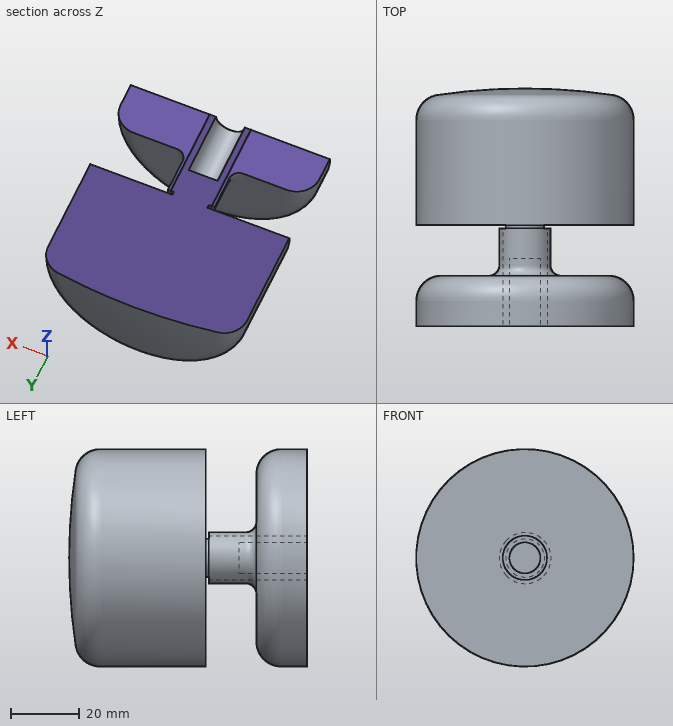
import cadquery as cq
import math

outer_diameter = 63.92
outer_radius = outer_diameter / 2
overall_length = 69.87
rim_radius = 7.4

rose_thickness = 14.9
stem_radius = 15.1 / 2
stem_end = 28.8
flare_radius = 3.0
shaft_radius = 13.0 / 2

knob_start = 29.7
neck_radius = 11.3 / 2
dome_edge_angle = 8.5
screw_hole_radius = 9.1 / 2
screw_hole_depth = 20.0


def turn(profile):
    """Revolve a profile, drawn as (radius, Y), about the Y axis."""
    return profile.close().revolve(360, (0, 0, 0), (0, 1, 0))


def make_rose():
    rim_start = rose_thickness - rim_radius
    flare_start = rose_thickness + flare_radius
    flare_middle = (
        stem_radius + flare_radius * (1 - math.cos(math.pi / 4)),
        flare_start - flare_radius * math.sin(math.pi / 4),
    )
    rim_middle = (
        outer_radius - rim_radius * (1 - math.cos(math.pi / 4)),
        rim_start + rim_radius * math.sin(math.pi / 4),
    )
    profile = (
        cq.Workplane("XY")
        .moveTo(shaft_radius, 0)
        .lineTo(outer_radius, 0)
        .lineTo(outer_radius, rim_start)
        .threePointArc(rim_middle, (outer_radius - rim_radius, rose_thickness))
        .lineTo(stem_radius + flare_radius, rose_thickness)
        .threePointArc(flare_middle, (stem_radius, flare_start))
        .lineTo(stem_radius, stem_end)
        .lineTo(shaft_radius, stem_end)
    )
    return turn(profile)


def make_knob():
    rim_centre_radius = outer_radius - rim_radius
    rim_end_angle = math.radians(dome_edge_angle)
    dome_radius = rim_radius + rim_centre_radius / math.sin(rim_end_angle)
    dome_centre = overall_length - dome_radius
    rim_centre = dome_centre + rim_centre_radius / math.tan(rim_end_angle)

    def rim_point(angle):
        return (
            rim_centre_radius + rim_radius * math.sin(angle),
            rim_centre + rim_radius * math.cos(angle),
        )

    def dome_point(angle):
        return (dome_radius * math.sin(angle), dome_centre + dome_radius * math.cos(angle))

    profile = (
        cq.Workplane("XY")
        .moveTo(screw_hole_radius, 0)
        .lineTo(shaft_radius, 0)
        .lineTo(shaft_radius, stem_end)
        .lineTo(neck_radius, stem_end)
        .lineTo(neck_radius, knob_start)
        .lineTo(outer_radius, knob_start)
        .lineTo(outer_radius, rim_centre)
        .threePointArc(rim_point((math.pi / 2 + rim_end_angle) / 2), rim_point(rim_end_angle))
        .threePointArc(dome_point(rim_end_angle / 2), (0, overall_length))
        .lineTo(0, screw_hole_depth)
        .lineTo(screw_hole_radius, screw_hole_depth)
    )
    return turn(profile)


rose = make_rose()
knob = make_knob()

result = cq.Compound.makeCompound([rose.val(), knob.val()])